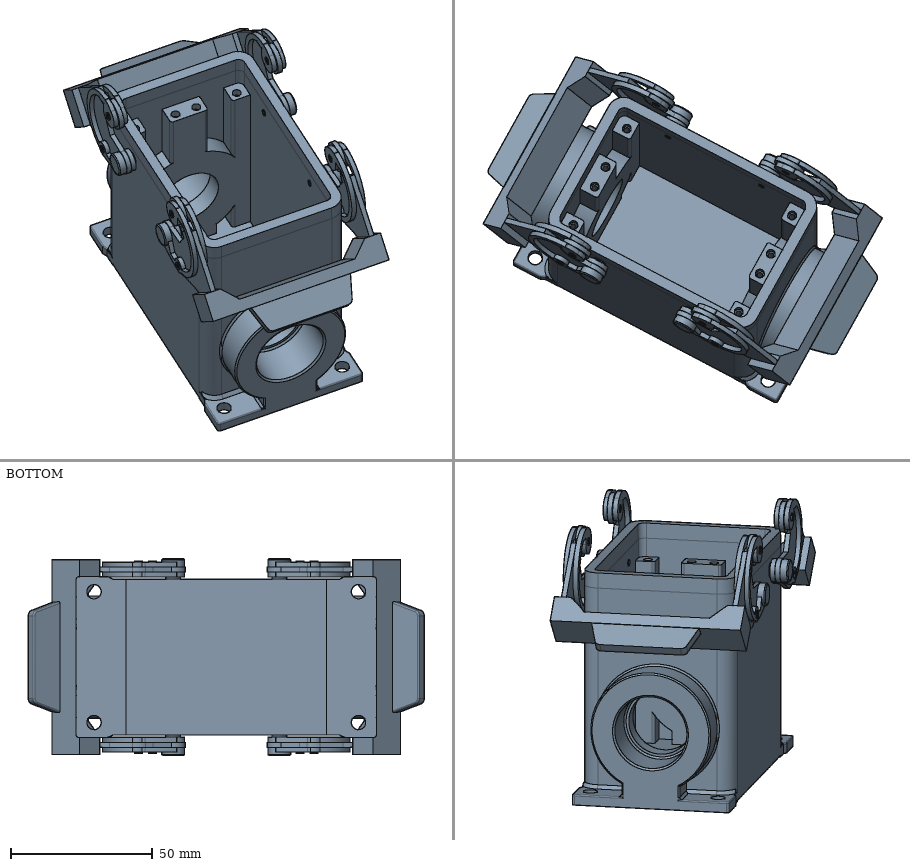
import cadquery as cq
import math

BODY_LENGTH = 83.2
BODY_WIDTH = 55.4
BODY_BOTTOM = 0.4
BODY_TOP = 82.2
CORNER_RADIUS = 6.0
RIM_HEIGHT = 5.5
RIM_TAPER = 1
CAVITY_LENGTH = 75.0
CAVITY_WIDTH = 47.8
CAVITY_RADIUS = 2.4
FLOOR_TOP = 3.8

FOOT_END = 53.2
FOOT_WIDTH = 57.0
FOOT_HEIGHT = 3.8
FOOT_SHOULDER = 42.0
FOOT_NECK = 40.2
FOOT_HOLE_RADIUS = 2.5
FOOT_HOLE_X = 46.9
FOOT_HOLE_Y = 23.2
FOOT_CORNER_RADIUS = 1.0
FOOT_EDGE_RADIUS = 0.4
FOOT_BLEND = 1.3
NECK_BLEND = 0.8

ENTRY_Z = 27.7
ENTRY_RADIUS = 21.8
ENTRY_NECK_WIDTH = 21.1
ENTRY_COLLAR = 0.7
ENTRY_EDGE_CHAMFER = 0.5
BORE_RADIUS = 13.0
BORE_FLOOR = 37.2
BORE_CHAMFER = 0.7
THROAT_RADIUS = 11.4

PILLAR_DEPTH = 7.2
PILLAR_TOP = 70.0
CORNER_PILLAR_START = 16.9
CENTRE_PILLAR_WIDTH = 14.6
PILLAR_EDGE_RADIUS = 1.0
SCREW_X = 33.3
SCREW_Y = (4.1, 20.0)
SCREW_RADIUS = 1.0
SCREW_DEPTH = 11.2
SCREW_MOUTH_RADIUS = 1.5
SCREW_MOUTH_DEPTH = 2.8

CHEEK_INNER = 28.4
PLATE_INNER = 30.2
PLATE_OUTER = 32.0
CHEEK_OUTER = 33.7
KNOB_OUTER = 34.91
HOOK_CENTRE = (-28.8, 80.2)
HOOK_OUTER_RADIUS = 15.2
HOOK_INNER_RADIUS = 13.0
ROLLER_CENTRE = (-26.1, 89.8)
ROLLER_RADIUS = 5.5
ROLLER_CHEEK_RADIUS = 4.5
PIVOT = (-18.8, 72.0)
PIVOT_RADIUS = 4.1
PIVOT_ROLLER_RADIUS = 4.4
UPPER_ARM_UNDERSIDE = 91.9
UPPER_ARM_START = 6.3
UPPER_ARM_FLAT = 0.4
LOWER_ARM_TOP = 67.7
LOWER_ARM_BEND_X = -24.9
KNOB_CHAMFER = 0.4
PIN_RADIUS = 2.7
PIN_TIP_RADIUS = 1.1
PIN_TIP_LENGTH = 0.3
RIVET = (-31.2, 67.6)
RIVET_PAD_RADIUS = 2.8
RIVET_RADIUS = 1.4
RIVET_HOLE_RADIUS = 0.7
RIVET_HEIGHT = 0.4

BAR_CORNER = (-61.8, 68.8)
BAR_WIDTH = 69.1
BAR_END_LENGTH = 10.1
BAR_MIDDLE_LENGTH = 4.4
BAR_DEPTH = 13.9
BAR_MIDDLE_HALF = 22.6
GRIP_CORNER = (-61.8, 68.5)
GRIP_ANGLE = 33
GRIP_REACH = 70.2
GRIP_ROOT = 2.1
GRIP_THICKNESS = 3.7
GRIP_ROOT_WIDTH = 40.2
GRIP_TIP_WIDTH = 32.3
GRIP_CORNER_RADIUS = 2.1
GRIP_EDGE_RADIUS = 0.5

BODY_END = BODY_LENGTH / 2
BODY_SIDE = BODY_WIDTH / 2
CAVITY_END = CAVITY_LENGTH / 2
CAVITY_SIDE = CAVITY_WIDTH / 2
PILLAR_FACE = CAVITY_END - PILLAR_DEPTH


def both_ends(shape):
    return shape.union(shape.mirror("YZ"))


def both_sides(shape):
    return shape.union(shape.mirror("XZ"))


def span(x0, x1, y0, y1, z0, z1):
    """Box between two opposite corners."""
    return cq.Workplane("XY").box(x1 - x0, y1 - y0, z1 - z0, centered=False).translate((x0, y0, z0))


def disc(centre, radius, y0, y1):
    """Cylinder along Y, centred at an (x, z) point."""
    return cq.Workplane("XZ", origin=(0, y1, 0)).center(*centre).circle(radius).extrude(y1 - y0)


def cylinder_x(radius, x0, x1):
    """Cylinder along X on the cable entry axis."""
    return cq.Workplane("YZ", origin=(x0, 0, ENTRY_Z)).circle(radius).extrude(x1 - x0)


def make_shell():
    """Rounded block whose upper rim tapers slightly inward."""
    rim_bottom = BODY_TOP - RIM_HEIGHT
    wall = (
        cq.Workplane("XY", origin=(0, 0, BODY_BOTTOM))
        .rect(BODY_LENGTH, BODY_WIDTH)
        .extrude(rim_bottom - BODY_BOTTOM)
        .edges("|Z").fillet(CORNER_RADIUS)
    )
    rim_outline = wall.faces(">Z").wires().toPending().workplane()
    return wall.union(rim_outline.extrude(RIM_HEIGHT, taper=RIM_TAPER, combine=False))


def make_foot_outline():
    """Plan of the flange under the -X end of the shell, stepping in to the shell width."""
    half = FOOT_WIDTH / 2
    inner = BODY_END - CORNER_RADIUS
    outline = [
        (-inner, -BODY_SIDE), (-FOOT_NECK, -BODY_SIDE), (-FOOT_SHOULDER, -half), (-FOOT_END, -half),
        (-FOOT_END, half), (-FOOT_SHOULDER, half), (-FOOT_NECK, BODY_SIDE), (-inner, BODY_SIDE),
    ]
    return cq.Workplane("XY").polyline(outline).close()


def make_foot():
    """Flange with rounded edges and two screw holes."""
    foot = make_foot_outline().extrude(FOOT_HEIGHT)
    foot = foot.edges("|Z and <X").fillet(FOOT_CORNER_RADIUS)
    foot = foot.faces(">Z").edges("not (>X or >X[-2])").fillet(FOOT_EDGE_RADIUS)
    holes = cq.Workplane("XY").pushPoints([(-FOOT_HOLE_X, FOOT_HOLE_Y), (-FOOT_HOLE_X, -FOOT_HOLE_Y)])
    return foot.cut(holes.circle(FOOT_HOLE_RADIUS).extrude(FOOT_HEIGHT))


def make_neck(x0, x1):
    """Straight block that carries an entry boss down to the bottom."""
    half = ENTRY_NECK_WIDTH / 2
    return span(x0, x1, -half, half, BODY_BOTTOM, ENTRY_Z)


def make_inner_entry():
    """Continuation of the cable entry inside the cavity, flush with the pillars."""
    boss = cylinder_x(ENTRY_RADIUS, -CAVITY_END, -PILLAR_FACE)
    return boss.union(make_neck(-CAVITY_END, -PILLAR_FACE))


def make_outer_entry():
    """Cable entry outside the shell, with a bevelled rim and a fillet at its root."""
    boss = cylinder_x(ENTRY_RADIUS, -FOOT_END, -BODY_END).faces("<X").chamfer(ENTRY_EDGE_CHAMFER)
    neck = make_neck(-FOOT_END, -BODY_END).edges("|Z and <X").chamfer(ENTRY_EDGE_CHAMFER)
    collar_start = cq.Workplane("YZ", origin=(-BODY_END - ENTRY_COLLAR, 0, ENTRY_Z)).circle(ENTRY_RADIUS)
    collar = collar_start.extrude(ENTRY_COLLAR, taper=-45)
    return boss.union(neck).union(collar)


def make_pillars():
    """Three screw pillars against the -X wall of the cavity."""
    half = CENTRE_PILLAR_WIDTH / 2
    corner = span(-CAVITY_END, -PILLAR_FACE, CORNER_PILLAR_START, CAVITY_SIDE, FLOOR_TOP, PILLAR_TOP)
    corner = corner.edges("|Z and >X and <Y").fillet(PILLAR_EDGE_RADIUS)
    centre = span(-CAVITY_END, -PILLAR_FACE, -half, half, FLOOR_TOP, PILLAR_TOP)
    centre = centre.edges("|Z and >X").fillet(PILLAR_EDGE_RADIUS)
    return centre.union(both_sides(corner))


def make_screw_holes():
    """Blind tapping holes in the pillars, each with a wider mouth."""
    drill = cq.Workplane("XY").circle(SCREW_RADIUS).extrude(-SCREW_DEPTH)
    mouth = cq.Workplane("XY").circle(SCREW_MOUTH_RADIUS).extrude(-SCREW_MOUTH_DEPTH)
    tool = drill.union(mouth)
    holes = tool.translate((-SCREW_X, SCREW_Y[0], PILLAR_TOP))
    holes = holes.union(tool.translate((-SCREW_X, SCREW_Y[1], PILLAR_TOP)))
    return both_sides(holes)


def make_root_blend():
    """Sloping skirt where the -X wall, its corners and the entry neck rise from the foot."""
    base = cq.Workplane("XY", origin=(0, 0, FOOT_HEIGHT))
    outline = cq.Sketch().rect(BODY_LENGTH + 2 * FOOT_BLEND, BODY_WIDTH + 2 * FOOT_BLEND)
    outline = outline.vertices().fillet(CORNER_RADIUS + FOOT_BLEND)
    wall_skirt = base.placeSketch(outline).extrude(FOOT_BLEND, taper=45)
    half = ENTRY_NECK_WIDTH / 2 + NECK_BLEND
    neck_skirt = (
        cq.Workplane("YZ", origin=(-FOOT_END, 0, FOOT_HEIGHT))
        .polyline([(-half, 0), (half, 0), (half - NECK_BLEND, NECK_BLEND), (-half + NECK_BLEND, NECK_BLEND)])
        .close().extrude(FOOT_END - CAVITY_END)
    )
    foot_area = make_foot_outline().extrude(FOOT_HEIGHT + FOOT_BLEND)
    outside = span(-FOOT_END, -CAVITY_END, -BODY_WIDTH, BODY_WIDTH, 0, BODY_TOP)
    return wall_skirt.intersect(foot_area).intersect(outside).union(neck_skirt)


def make_cavity():
    """Open pocket whose mouth flares slightly along the rim."""
    mouth_bottom = BODY_TOP - RIM_HEIGHT
    pocket = span(-CAVITY_END, CAVITY_END, -CAVITY_SIDE, CAVITY_SIDE, FLOOR_TOP, mouth_bottom)
    pocket = pocket.edges("|Z").fillet(CAVITY_RADIUS)
    mouth_outline = pocket.faces(">Z").wires().toPending().workplane()
    return pocket.union(mouth_outline.extrude(RIM_HEIGHT, taper=-RIM_TAPER, combine=False))


def make_housing():
    body = make_shell().cut(make_cavity())
    body = body.union(both_ends(make_pillars().cut(make_screw_holes())))
    body = body.union(both_ends(make_inner_entry()))
    body = body.union(both_ends(make_foot().union(make_outer_entry()).union(make_root_blend())))
    bore = cylinder_x(BORE_RADIUS, -FOOT_END, -BORE_FLOOR).faces(">X").chamfer(BORE_CHAMFER)
    mouth = cq.Workplane("YZ", origin=(-FOOT_END, 0, ENTRY_Z)).circle(BORE_RADIUS + BORE_CHAMFER)
    bore_mouth = mouth.extrude(BORE_CHAMFER, taper=45)
    body = body.cut(both_ends(bore.union(bore_mouth)))
    return body.cut(cylinder_x(THROAT_RADIUS, -FOOT_END, FOOT_END))


def make_plate():
    """Middle metal layer of a lever side, from the crossbar to the pivot."""
    pivot_x, pivot_z = PIVOT
    outline = (
        cq.Workplane("XZ", origin=(0, -PLATE_INNER, 0))
        .moveTo(-54.7, 76.0)
        .lineTo(-38.6, 92.0)
        .lineTo(-30.9, 84.5)
        .lineTo(-32.2, 82.3)
        .lineTo(-28.7, 76.4)
        .lineTo(pivot_x, pivot_z + PIVOT_RADIUS)
        .threePointArc((pivot_x + PIVOT_RADIUS, pivot_z), (pivot_x, pivot_z - PIVOT_RADIUS))
        .lineTo(-26.0, 64.6)
        .lineTo(-28.7, 63.4)
        .threePointArc((-30.9, 62.7), (-33.2, 63.0))
        .lineTo(-41.5, 65.5)
        .lineTo(-44.8, 66)
        .close()
    )
    return outline.extrude(PLATE_OUTER - PLATE_INNER)


def make_cheek(y0, y1):
    """Hook-shaped layer: a C from the roller round to the pivot."""
    hook_x, hook_z = HOOK_CENTRE
    pivot_x, pivot_z = PIVOT
    ring = disc(HOOK_CENTRE, HOOK_OUTER_RADIUS, y0, y1).cut(disc(HOOK_CENTRE, HOOK_INNER_RADIUS, y0, y1))
    ring = ring.intersect(span(hook_x - 28.1, hook_x, y0, y1, 0, hook_z + 28.1))
    roller = disc(ROLLER_CENTRE, ROLLER_CHEEK_RADIUS, y0, y1)
    lower_arm = (
        cq.Workplane("XZ", origin=(0, y1, 0))
        .moveTo(hook_x, hook_z - HOOK_INNER_RADIUS)
        .lineTo(hook_x, LOWER_ARM_TOP)
        .lineTo(LOWER_ARM_BEND_X, LOWER_ARM_TOP)
        .lineTo(pivot_x - PIVOT_RADIUS, pivot_z)
        .lineTo(pivot_x + 1.4, pivot_z - PIVOT_RADIUS)
        .threePointArc((-23.5, 65.9), (hook_x, hook_z - HOOK_OUTER_RADIUS))
        .close()
        .extrude(y1 - y0)
    )
    pivot = disc(PIVOT, PIVOT_RADIUS, y0, y1)
    pad = disc(RIVET, RIVET_PAD_RADIUS, y0, y1)
    roller_x, roller_z = ROLLER_CENTRE
    upper_arm = (
        cq.Workplane("XZ", origin=(0, y1, 0))
        .moveTo(hook_x - UPPER_ARM_FLAT, hook_z + HOOK_OUTER_RADIUS)
        .lineTo(hook_x, hook_z + HOOK_OUTER_RADIUS)
        .tangentArcPoint((roller_x + ROLLER_CHEEK_RADIUS, roller_z), relative=False)
        .lineTo(roller_x - ROLLER_CHEEK_RADIUS, roller_z)
        .lineTo(roller_x - ROLLER_CHEEK_RADIUS, UPPER_ARM_UNDERSIDE)
        .lineTo(hook_x - UPPER_ARM_START, UPPER_ARM_UNDERSIDE)
        .close()
        .extrude(y1 - y0)
    )
    return ring.union(roller).union(upper_arm).union(lower_arm).union(pivot).union(pad)


def make_lever_side():
    """Lever side at -Y: two cheeks over the plate, with roller, rivets, knob and pivot pin."""
    side = make_plate()
    side = side.union(make_cheek(-PLATE_INNER, -CHEEK_INNER))
    side = side.union(make_cheek(-CHEEK_OUTER, -PLATE_OUTER))
    side = side.union(disc(ROLLER_CENTRE, ROLLER_RADIUS, -PLATE_OUTER, -PLATE_INNER))
    side = side.union(disc(PIVOT, PIVOT_ROLLER_RADIUS, -PLATE_OUTER, -PLATE_INNER))
    for centre in (ROLLER_CENTRE, RIVET):
        head_top = -CHEEK_OUTER - RIVET_HEIGHT
        head = disc(centre, RIVET_RADIUS, head_top, -CHEEK_OUTER)
        side = side.union(head.cut(disc(centre, RIVET_HOLE_RADIUS, head_top, -CHEEK_OUTER)))
    groove_floor = -CHEEK_INNER - RIVET_HEIGHT
    groove = disc(ROLLER_CENTRE, RIVET_RADIUS, groove_floor, -CHEEK_INNER)
    side = side.cut(groove.cut(disc(ROLLER_CENTRE, RIVET_HOLE_RADIUS, groove_floor, -CHEEK_INNER)))
    knob = disc(PIVOT, PIVOT_RADIUS, -KNOB_OUTER, -CHEEK_OUTER).faces("<Y").chamfer(KNOB_CHAMFER)
    pin = disc(PIVOT, PIN_RADIUS, -CHEEK_INNER, -BODY_SIDE)
    pin_tip = disc(PIVOT, PIN_TIP_RADIUS, -CAVITY_SIDE, -CAVITY_SIDE + PIN_TIP_LENGTH)
    return side.union(knob).union(pin).union(pin_tip)


def make_bar():
    """Crossbar square to the 45 degree slope of the lever, thinner between its two ends."""
    half = BAR_WIDTH / 2
    slope = cq.Plane(origin=(BAR_CORNER[0], 0, BAR_CORNER[1]), xDir=(1, 0, 1), normal=(1, 0, -1))
    outline = [
        (0, -half), (BAR_END_LENGTH, -half), (BAR_END_LENGTH, -CHEEK_INNER),
        (BAR_MIDDLE_LENGTH, -BAR_MIDDLE_HALF), (BAR_MIDDLE_LENGTH, BAR_MIDDLE_HALF),
        (BAR_END_LENGTH, CHEEK_INNER), (BAR_END_LENGTH, half), (0, half),
    ]
    return cq.Workplane(slope).polyline(outline).close().extrude(BAR_DEPTH)


def make_grip():
    """Tapered finger tab that slopes down from the crossbar."""
    angle = math.radians(GRIP_ANGLE)
    plane = cq.Plane(
        origin=(GRIP_CORNER[0], 0, GRIP_CORNER[1]),
        xDir=(-math.cos(angle), 0, -math.sin(angle)),
        normal=(math.sin(angle), 0, -math.cos(angle)),
    )
    length = (GRIP_REACH + GRIP_CORNER[0]) / math.cos(angle)
    root = GRIP_ROOT_WIDTH / 2
    tip = GRIP_TIP_WIDTH / 2
    outline = [(-GRIP_ROOT, -root), (length, -tip), (length, tip), (-GRIP_ROOT, root)]
    tab = cq.Workplane(plane).polyline(outline).close().extrude(GRIP_THICKNESS)
    tab = tab.edges(cq.selectors.ParallelDirSelector(plane.zDir)).edges("<X").fillet(GRIP_CORNER_RADIUS)
    underside = cq.selectors.DirectionMinMaxSelector(plane.zDir)
    return tab.faces(underside).edges().fillet(GRIP_EDGE_RADIUS)


def make_lever():
    return both_sides(make_lever_side()).union(make_bar()).union(make_grip())


result = both_ends(make_lever()).union(make_housing())